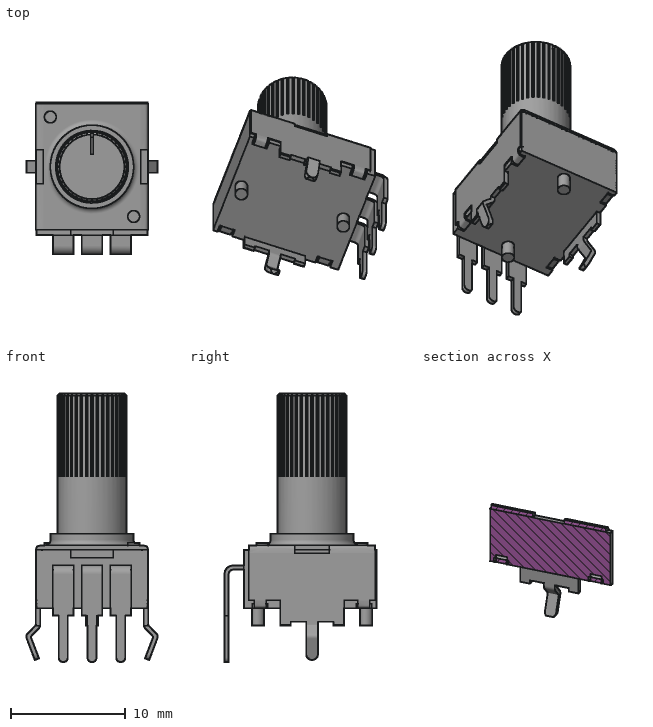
import cadquery as cq
import math


shaft_top = 23.4
knurl_bottom = 16.19
cover_top = 10.17
cover_bottom = 5.38
housing_bottom = 4.68
peg_bottom = 3.18

sheet = 0.4
cover_width = 9.8
cover_length = 11.0
shoulder_size = 0.68
bend_fullness = 0.85
shoulder_notch_length = 3.0
shoulder_notch_step = 0.07
collar_radius = 3.63
collar_height = 1.0
collar_fillet = 0.47
collar_bore_radius = 3.15
rivet_radius = 0.51
rivet_projection = 0.2
rivet_x = 3.63
rivet_y = 4.33

tab_y = 4.51
tab_width = 1.05
tab_recess_width = 1.35

leg_length = 5.57
foot_bottom = 3.18
foot_chamfer = 0.1
foot_gap_length = 3.7
foot_gap_top = 3.5
finger_width = 1.05
finger_span = 11.44
finger_bend_trim = 0.15
finger_bend_z = 3.13
finger_knee_z = 2.27
finger_knee_inset = 0.16
finger_end_x = 4.8
finger_end_z = 0.25
finger_tip_z = 0.19

flange_width = 9.65
housing_front_y = -5.95
housing_back_y = 5.61
front_recess_width = 3.7
front_recess_depth = 0.68
peg_radius = 0.54
peg_y = 4.7

shaft_radius = 3.02
shaft_chamfer = 0.2
groove_count = 40
groove_depth = 0.1
pointer_width = 0.2
pointer_depth = 0.2
pointer_start = 1.08
pointer_bend = 2.55

terminal_pitch = 2.5
terminal_sheet = 0.37
terminal_top = 8.42
terminal_front_y = -7.63
terminal_bend_radius = 0.75
terminal_width = 1.8
terminal_shoulder_z = 4.05
terminal_tail_width = 0.8

cover_half = cover_width / 2
inner_half = cover_half - sheet
housing_top = cover_top - sheet
collar_top = cover_top + collar_height
shoulder_bottom = cover_top - shoulder_size
tab_bend_size = cover_bottom - housing_bottom
tab_end_x = cover_half - tab_bend_size
diagonal = math.sqrt(0.5)


def box(x0, x1, y0, y1, z0, z1):
    """Axis-aligned box between two corners."""
    return cq.Workplane("XY").box(x1 - x0, y1 - y0, z1 - z0, centered=False).translate((x0, y0, z0))


def cylinder(x, y, z0, z1, radius):
    """Upright cylinder between two levels."""
    return cq.Workplane("XY", origin=(x, y, z0)).circle(radius).extrude(z1 - z0)


def mirrored_pair(body):
    """A shape on the -X side together with its mirror image on the +X side."""
    return body.union(body.mirror("YZ"))


def make_shell():
    """Top plate with full, rounded shoulders and two side walls, open towards front and back."""
    half = cover_length / 2
    flat = cover_half - shoulder_size
    handle = bend_fullness * shoulder_size
    right_shoulder = [
        (flat, cover_top),
        (flat + handle, cover_top),
        (cover_half, shoulder_bottom + handle),
        (cover_half, shoulder_bottom),
    ]
    left_shoulder = [(-x, z) for x, z in reversed(right_shoulder)]
    outer = (
        cq.Workplane("XZ", origin=(0, half, 0))
        .moveTo(-cover_half, cover_bottom)
        .lineTo(-cover_half, shoulder_bottom)
        .bezier(left_shoulder)
        .lineTo(flat, cover_top)
        .bezier(right_shoulder)
        .lineTo(cover_half, cover_bottom)
        .close()
        .extrude(cover_length)
    )
    inner = box(-inner_half, inner_half, -half, half, cover_bottom, housing_top)
    inner = inner.edges("|Y and >Z").fillet(shoulder_size - sheet)
    return outer.cut(inner)


def make_shoulder_notch():
    """Cutter that takes the -X shoulder down by one sheet thickness, with a fine step outside."""
    half = shoulder_notch_length / 2
    notch = box(-cover_half, shoulder_size - cover_half, -half, half, housing_top, cover_top)
    step_x = shoulder_notch_step - cover_half
    return notch.union(box(-cover_half, step_x, -half, half, shoulder_bottom, cover_top))


def make_collar():
    """Ring around the shaft, blended into the top plate."""
    fillet_top = cover_top + collar_fillet
    arc_x = collar_radius + collar_fillet * (1 - diagonal)
    arc_z = fillet_top - collar_fillet * diagonal
    return (
        cq.Workplane("XZ")
        .moveTo(0, housing_top)
        .lineTo(collar_radius + collar_fillet, housing_top)
        .lineTo(collar_radius + collar_fillet, cover_top)
        .threePointArc((arc_x, arc_z), (collar_radius, fillet_top))
        .lineTo(collar_radius, collar_top)
        .lineTo(0, collar_top)
        .close()
        .revolve(360, (0, 0), (0, 1))
    )


def make_tab(y):
    """Tab below the -X wall that curls under the housing."""
    handle = bend_fullness * tab_bend_size
    outer_bend = [
        (-tab_bend_size, 0),
        (-tab_bend_size, -handle),
        (-handle, -tab_bend_size),
        (0, -tab_bend_size),
    ]
    inner_radius = tab_bend_size - sheet
    inner_mid = inner_radius * diagonal
    return (
        cq.Workplane("XZ", origin=(-tab_end_x, y + tab_width / 2, cover_bottom))
        .moveTo(-tab_bend_size, 0)
        .bezier(outer_bend)
        .lineTo(0, -inner_radius)
        .threePointArc((-inner_mid, -inner_mid), (-inner_radius, 0))
        .close()
        .extrude(tab_width)
    )


def make_leg():
    """Plate below the -X wall with two feet, and a gap between them for the finger."""
    half = leg_length / 2
    gap = foot_gap_length / 2
    plate = box(-cover_half, -inner_half, -half, half, foot_bottom, cover_bottom)
    plate = plate.edges("|Y and <X and <Z").chamfer(foot_chamfer)
    return plate.cut(box(-cover_half, -inner_half, -gap, gap, foot_bottom, foot_gap_top))


def point_between(start, target, distance):
    """Point that lies the given distance from start towards target."""
    share = distance / math.dist(start, target)
    return tuple(a + share * (b - a) for a, b in zip(start, target))


def make_finger():
    """Zigzag strip with a round tip, bent outwards and back from the -X leg."""
    wall_x = cover_half - sheet / 2
    root = (-wall_x, foot_gap_top)
    bend = (-wall_x, finger_bend_z)
    knee = (-(finger_span / 2 - finger_knee_inset), finger_knee_z)
    end = (-finger_end_x, finger_end_z)
    path = (
        cq.Workplane("XZ")
        .moveTo(*root)
        .lineTo(*point_between(bend, root, finger_bend_trim))
        .tangentArcPoint(point_between(bend, knee, finger_bend_trim), relative=False)
        .lineTo(*point_between(knee, bend, finger_bend_trim))
        .tangentArcPoint(point_between(knee, end, finger_bend_trim), relative=False)
        .lineTo(*end)
    )
    strip = (
        cq.Workplane("XY", origin=(-wall_x, 0, foot_gap_top))
        .rect(sheet, finger_width)
        .sweep(path)
    )
    tip_radius = finger_width / 2
    tip_centre_z = finger_tip_z + tip_radius
    outline = (
        cq.Workplane("YZ", origin=(-cover_half - finger_span, 0, 0))
        .moveTo(-tip_radius, foot_gap_top)
        .lineTo(-tip_radius, tip_centre_z)
        .threePointArc((0, finger_tip_z), (tip_radius, tip_centre_z))
        .lineTo(tip_radius, foot_gap_top)
        .close()
        .extrude(cover_half + finger_span)
    )
    return strip.intersect(outline)


def make_cover():
    """Bent cover with its collar, tabs, legs and fingers."""
    side = make_leg().union(make_finger())
    for y in (-tab_y, tab_y):
        side = side.union(make_tab(y))
    body = make_shell().cut(mirrored_pair(make_shoulder_notch()))
    body = body.union(make_collar()).union(mirrored_pair(side))
    body = body.cut(cylinder(0, 0, housing_top, collar_top, collar_bore_radius))
    for sign in (-1, 1):
        body = body.cut(cylinder(sign * rivet_x, -sign * rivet_y, housing_top, cover_top, rivet_radius))
    return body


def make_tab_recess(y):
    """Cutter for the shallow recess in the underside around a -X tab."""
    half = tab_recess_width / 2
    return box(-cover_half, -tab_end_x, y - half, y + half, housing_bottom, housing_bottom + sheet)


def make_tab_bend_space(y):
    """Cutter that clears the bend of a -X tab above the recess."""
    half = tab_width / 2
    return box(-cover_half, -tab_end_x, y - half, y + half, housing_bottom, cover_bottom)


def make_leg_space():
    """Cutter that lets the -X leg pass down the side of the housing."""
    half = leg_length / 2
    return box(-cover_half, -inner_half, -half, half, housing_bottom, cover_bottom)


def make_housing():
    """Block that fills the cover, with end flanges, rivet posts and locating pegs."""
    edge = flange_width / 2
    half = cover_length / 2
    core = box(-inner_half, inner_half, -half, half, housing_bottom, housing_top)
    core = core.edges("|Y and >Z").fillet(shoulder_size - sheet)
    skirt = box(-edge, edge, -half, half, housing_bottom, cover_bottom)
    front = box(-edge, edge, housing_front_y, -half, housing_bottom, housing_top)
    back = box(-edge, edge, half, housing_back_y, housing_bottom, housing_top)
    recess_half = front_recess_width / 2
    front_recess = box(
        -recess_half, recess_half, housing_front_y, -half, housing_top - front_recess_depth, housing_top
    )
    body = core.union(skirt).union(front).union(back).cut(front_recess)

    body = body.cut(mirrored_pair(make_leg_space()))
    for y in (-tab_y, tab_y):
        body = body.cut(mirrored_pair(make_tab_recess(y)))
        body = body.cut(mirrored_pair(make_tab_bend_space(y)))

    rivet_top = cover_top + rivet_projection
    for sign in (-1, 1):
        body = body.union(cylinder(sign * rivet_x, -sign * rivet_y, housing_top, rivet_top, rivet_radius))
        body = body.union(cylinder(0, sign * peg_y, peg_bottom, housing_bottom, peg_radius))
    return body


def make_groove(angle):
    """Right-angled V cutter along the knurl, at the given angle around the shaft."""
    reach = 2 * groove_depth
    valley = shaft_radius - groove_depth
    return (
        cq.Workplane("XY", origin=(0, 0, knurl_bottom))
        .polyline([(valley, 0), (valley + reach, reach), (valley + reach, -reach)])
        .close()
        .extrude(shaft_top - knurl_bottom)
        .rotate((0, 0, 0), (0, 0, 1), angle)
    )


def make_pointer():
    """Cutter for the pointer slot, whose floor slopes down 45 degrees at the rim."""
    floor = shaft_top - pointer_depth
    return (
        cq.Workplane("YZ", origin=(-pointer_width / 2, 0, 0))
        .moveTo(pointer_start, shaft_top)
        .lineTo(pointer_start, floor)
        .lineTo(pointer_bend, floor)
        .lineTo(shaft_radius, floor - (shaft_radius - pointer_bend))
        .lineTo(shaft_radius, shaft_top)
        .close()
        .extrude(pointer_width)
    )


def make_shaft():
    """Knurled shaft with a chamfered top and a pointer slot, standing on the housing."""
    body = cylinder(0, 0, housing_top, shaft_top, shaft_radius).faces(">Z").chamfer(shaft_chamfer)
    for index in range(groove_count):
        body = body.cut(make_groove(index * 360 / groove_count))
    return body.cut(make_pointer())


def make_terminal(x):
    """Strip that leaves the housing front, bends down and narrows to a round-tipped tail."""
    half = terminal_width / 2
    strip = (
        cq.Workplane("YZ", origin=(x - half, 0, 0))
        .moveTo(housing_front_y, terminal_top)
        .lineTo(terminal_front_y, terminal_top)
        .lineTo(terminal_front_y, 0)
        .lineTo(terminal_front_y + terminal_sheet, 0)
        .lineTo(terminal_front_y + terminal_sheet, terminal_top - terminal_sheet)
        .lineTo(housing_front_y, terminal_top - terminal_sheet)
        .close()
        .extrude(terminal_width)
    )
    strip = strip.edges("|X and <Y and >Z").fillet(terminal_bend_radius)
    inner_corner = cq.selectors.NearestToPointSelector(
        (x, terminal_front_y + terminal_sheet, terminal_top - terminal_sheet)
    )
    strip = strip.edges("|X").edges(inner_corner).fillet(terminal_bend_radius - terminal_sheet)

    tail = terminal_tail_width / 2
    outline = (
        cq.Workplane("XZ", origin=(x, 0, 0))
        .moveTo(-half, terminal_top)
        .lineTo(-half, terminal_shoulder_z)
        .lineTo(-tail, terminal_shoulder_z)
        .lineTo(-tail, tail)
        .threePointArc((0, 0), (tail, tail))
        .lineTo(tail, terminal_shoulder_z)
        .lineTo(half, terminal_shoulder_z)
        .lineTo(half, terminal_top)
        .close()
        .extrude(-terminal_front_y)
    )
    return strip.intersect(outline)


cover = make_cover()
housing = make_housing()
shaft = make_shaft()
terminals = [make_terminal(index * terminal_pitch) for index in (-1, 0, 1)]

result = cq.Compound.makeCompound(
    [cover.val(), housing.val(), shaft.val(), *[terminal.val() for terminal in terminals]]
)